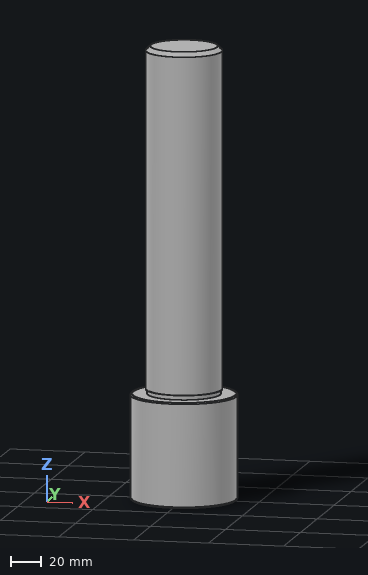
import cadquery as cq

total_length = 300.0
head_diameter = 70.0
head_height = 70.0
shank_diameter = 50.0

tip_chamfer = 3.0
head_chamfer = 1.0
groove_width = 3.0
groove_depth = 1.0

bottom_z = -head_height
shank_length = total_length - head_height


def make_head():
    """Cylindrical head with both rims chamfered."""
    head = cq.Workplane("XY").workplane(offset=bottom_z).circle(head_diameter / 2).extrude(head_height)
    return head.faces("<Z or >Z").chamfer(head_chamfer)


def make_shank():
    """Round shank with a chamfered tip and a relief groove next to the head."""
    neck_radius = shank_diameter / 2 - groove_depth
    neck = cq.Workplane("XY").circle(neck_radius).extrude(groove_width)
    shaft = (
        cq.Workplane("XY")
        .workplane(offset=groove_width)
        .circle(shank_diameter / 2)
        .extrude(shank_length - groove_width)
        .faces(">Z")
        .chamfer(tip_chamfer)
    )
    return neck.union(shaft)


result = make_head().union(make_shank())